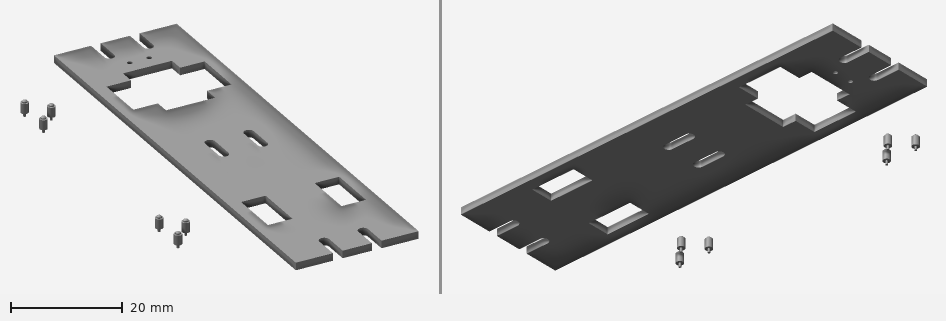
import cadquery as cq
import math

OVERALL_WIDTH = 40.8

PLATE_LENGTH = 90.0
PLATE_WIDTH = 25.0
PLATE_THICKNESS = 1.5

STATION_X = 25.0

CROSS_X = -STATION_X
CROSS_LENGTH = 16.0
CROSS_ARM = 10.0
CROSS_WIDTH = 20.0

WINDOW_X = STATION_X
WINDOW_LENGTH = CROSS_ARM
WINDOW_WIDTH = (CROSS_WIDTH - CROSS_ARM) / 2
WINDOW_Y = (CROSS_WIDTH + CROSS_ARM) / 4

SLOT_WIDTH = 2.0
SLOT_Y = 4.0
END_SLOT_DEPTH = 6.0
MIDDLE_SLOT_LENGTH = 7.0

HOLE_DIAMETER = 1.0
HOLE_X = -36.0
HOLE_Y = SLOT_Y / 2

PIN_DIAMETER = 1.5
TAIL_DIAMETER = 0.5
TIP_DIAMETER = 1.0
TOP_Z = 4.05
TAIL_LENGTH = 0.8
TIP_HEIGHT = 0.5
DOME_HEIGHT = TIP_HEIGHT / 2

TRIANGLE_XS = (-STATION_X, STATION_X)
TRIANGLE_BASE = 7.0
TRIANGLE_HEIGHT = TRIANGLE_BASE / 2
TRIANGLE_BASE_Y = PLATE_WIDTH / 2 - OVERALL_WIDTH + PIN_DIAMETER / 2


def through_box(length, width, points):
    return cq.Workplane("XY").pushPoints(points).rect(length, width).extrude(PLATE_THICKNESS)


def through_slot(length, points):
    return cq.Workplane("XY").pushPoints(points).slot2D(length, SLOT_WIDTH).extrude(PLATE_THICKNESS)


def make_plate():
    plate = through_box(PLATE_LENGTH, PLATE_WIDTH, [(0, 0)])

    plate = plate.cut(through_box(CROSS_LENGTH, CROSS_ARM, [(CROSS_X, 0)]))
    plate = plate.cut(through_box(CROSS_ARM, CROSS_WIDTH, [(CROSS_X, 0)]))

    windows = [(WINDOW_X, side * WINDOW_Y) for side in (-1, 1)]
    plate = plate.cut(through_box(WINDOW_LENGTH, WINDOW_WIDTH, windows))

    end_slots = [(end * PLATE_LENGTH / 2, side * SLOT_Y) for end in (-1, 1) for side in (-1, 1)]
    middle_slots = [(0, side * SLOT_Y) for side in (-1, 1)]
    plate = plate.cut(through_slot(2 * END_SLOT_DEPTH, end_slots))
    plate = plate.cut(through_slot(MIDDLE_SLOT_LENGTH, middle_slots))

    holes = [(HOLE_X, side * HOLE_Y) for side in (-1, 1)]
    hole_cutter = cq.Workplane("XY").pushPoints(holes).circle(HOLE_DIAMETER / 2).extrude(PLATE_THICKNESS)
    return plate.cut(hole_cutter)


def make_pin(x, y):
    body_z = PLATE_THICKNESS
    tail_z = body_z - TAIL_LENGTH
    shoulder_z = TOP_Z - TIP_HEIGHT
    dome_z = TOP_Z - DOME_HEIGHT

    tip_radius = TIP_DIAMETER / 2
    dome_radius = (tip_radius**2 + DOME_HEIGHT**2) / (2 * DOME_HEIGHT)
    mid_radius = tip_radius / 2
    mid_z = TOP_Z - dome_radius + math.sqrt(dome_radius**2 - mid_radius**2)

    half_profile = (
        cq.Workplane("XZ")
        .moveTo(0, tail_z)
        .lineTo(TAIL_DIAMETER / 2, tail_z)
        .lineTo(TAIL_DIAMETER / 2, body_z)
        .lineTo(PIN_DIAMETER / 2, body_z)
        .lineTo(PIN_DIAMETER / 2, shoulder_z)
        .lineTo(tip_radius, shoulder_z)
        .lineTo(tip_radius, dome_z)
        .threePointArc((mid_radius, mid_z), (0, TOP_Z))
        .close()
    )
    return half_profile.revolve(360, (0, 0, 0), (0, 1, 0)).translate((x, y, 0))


def make_pins():
    pins = []
    for center_x in TRIANGLE_XS:
        pins.append(make_pin(center_x, TRIANGLE_BASE_Y + TRIANGLE_HEIGHT))
        for side in (-1, 1):
            pins.append(make_pin(center_x + side * TRIANGLE_BASE / 2, TRIANGLE_BASE_Y))
    return pins


plate = make_plate()
pins = make_pins()
result = cq.Compound.makeCompound([plate.val(), *[pin.val() for pin in pins]])